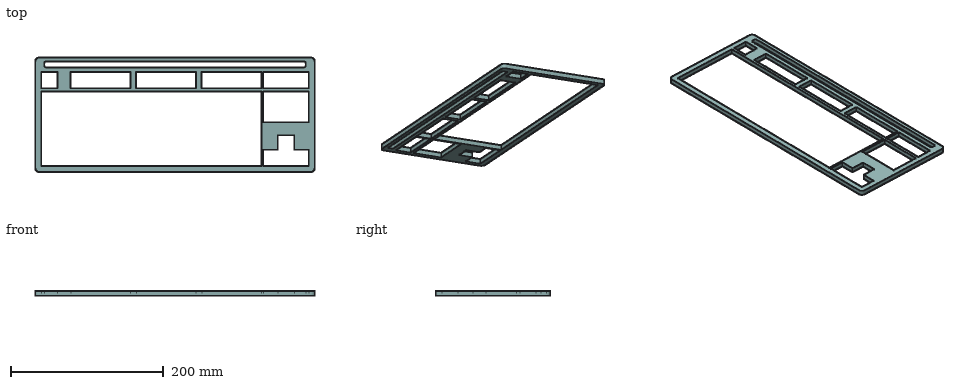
import cadquery as cq


LENGTH = 365.5
DEPTH = 150.0
THICKNESS = 6.5
CORNER_RADIUS = 5.0
BORDER = 8.0

CLEARANCE = 2.0
KEYS_ACROSS = 18.25
PITCH = (LENGTH - 2 * BORDER - CLEARANCE) / KEYS_ACROSS

MAIN_COLUMNS = 15
MAIN_ROWS = 5
NAV_COLUMNS = 3
NAV_ROWS = 2
FUNCTION_GROUPS = 3
FUNCTION_COLUMNS = 4
FUNCTION_START = 2
FUNCTION_STEP = 4.5
FUNCTION_BAR = 4.5

SLOT_SIDE_MARGIN = 12.0
SLOT_BACK_MARGIN = 5.5
SLOT_WIDTH = 7.3
SLOT_CORNER_RADIUS = 2.0


def opening_size(keys):
    return keys * PITCH + CLEARANCE


def cutter(left, front, length, depth):
    """Block through the full thickness, placed by its left front corner."""
    return cq.Workplane("XY").box(length, depth, THICKNESS, centered=False).translate((left, front, 0))


def key_opening(left, front, columns, rows):
    return cutter(left, front, opening_size(columns), opening_size(rows))


main_left = -LENGTH / 2 + BORDER
main_front = -DEPTH / 2 + BORDER
nav_left = main_left + (KEYS_ACROSS - NAV_COLUMNS) * PITCH
nav_front = main_front + (MAIN_ROWS - NAV_ROWS) * PITCH
function_front = main_front + opening_size(MAIN_ROWS) + FUNCTION_BAR

plate = (
    cq.Workplane("XY")
    .box(LENGTH, DEPTH, THICKNESS, centered=(True, True, False))
    .edges("|Z")
    .fillet(CORNER_RADIUS)
)

openings = [
    key_opening(main_left, main_front, MAIN_COLUMNS, MAIN_ROWS),
    key_opening(nav_left, nav_front, NAV_COLUMNS, NAV_ROWS),
]

openings.append(key_opening(nav_left, main_front, NAV_COLUMNS, 1))
openings.append(key_opening(nav_left + PITCH, main_front, 1, 2))

openings.append(key_opening(main_left, function_front, 1, 1))
for group in range(FUNCTION_GROUPS):
    group_left = main_left + (FUNCTION_START + group * FUNCTION_STEP) * PITCH
    openings.append(key_opening(group_left, function_front, FUNCTION_COLUMNS, 1))
openings.append(key_opening(nav_left, function_front, NAV_COLUMNS, 1))

slot_left = -LENGTH / 2 + SLOT_SIDE_MARGIN
slot_front = DEPTH / 2 - SLOT_BACK_MARGIN - SLOT_WIDTH
slot = cutter(slot_left, slot_front, LENGTH - 2 * SLOT_SIDE_MARGIN, SLOT_WIDTH)
openings.append(slot.edges("|Z").fillet(SLOT_CORNER_RADIUS))

result = plate
for opening in openings:
    result = result.cut(opening)